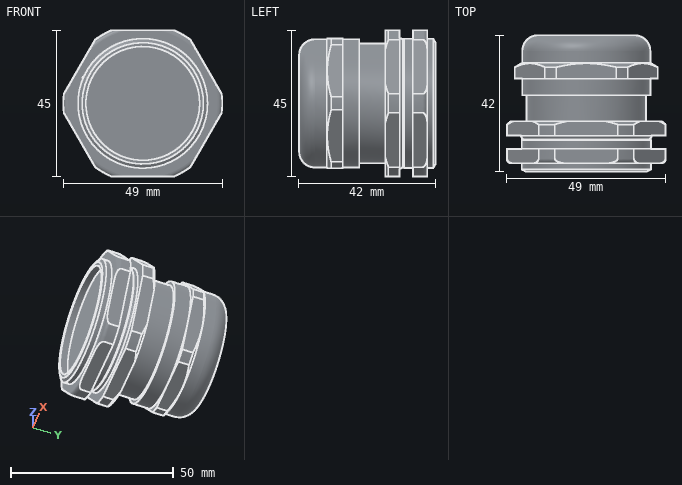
import cadquery as cq
import math

total_length = 42.0

thread_radius = 39.85 / 2
thread_end = 9.7
rim_chamfer_length = 0.75
rim_face_radius = 18.65
recess_radius = 35.0 / 2
recess_depth = 2.45

groove_root = 10.05
groove_root_radius = 19.5
seal_radius = 20.1

large_flats = 45.0
large_corner_radius = 24.5
locknut_start = 2.55
locknut_end = 7.0
locknut_fillet = 1.45
body_hex_start = 11.05
body_hex_end = 15.5
body_chamfer_length = 1.05
body_chamfer_width = 1.2

neck_radius = 36.85 / 2
neck_end = 23.45
cap_radius = 39.5 / 2
dome_radius = 4.95

cap_flats = 40.0
cap_corner_radius = 22.05
cap_hex_start = 28.6
cap_hex_end = 33.45
cap_chamfer_length = 1.3
cap_chamfer_width = cap_corner_radius - cap_radius


def cylinder(radius, start, end):
    """Round length about the Y axis between two stations."""
    workplane = cq.Workplane("XZ", origin=(0, start - total_length / 2, 0))
    return workplane.circle(radius).extrude(start - end)


def hexagon(flats, start, end, envelope):
    """Hexagon with flats facing +Z and -Z, its corners trimmed by a round envelope."""
    workplane = cq.Workplane("XZ", origin=(0, start - total_length / 2, 0))
    corner_diameter = flats / math.cos(math.radians(30))
    prism = workplane.polygon(6, corner_diameter).extrude(start - end)
    return prism.intersect(envelope)


def threaded_end():
    rim_chamfer_width = thread_radius - rim_face_radius
    body = cylinder(thread_radius, 0, thread_end)
    return body.faces("<Y").edges().chamfer(rim_chamfer_length, rim_chamfer_width)


def grooved_seal():
    """Cone down to the groove root, then a sealing ring with a rounded flank up to the body hexagon."""
    front = thread_end - total_length / 2
    root = groove_root - total_length / 2
    back = body_hex_start - total_length / 2
    flank_rise = seal_radius - groove_root_radius
    flank_radius = ((back - root) ** 2 + flank_rise**2) / (2 * flank_rise)
    profile = (
        cq.Workplane("XY")
        .moveTo(0, front)
        .lineTo(thread_radius, front)
        .lineTo(groove_root_radius, root)
        .radiusArc((seal_radius, back), -flank_radius)
        .lineTo(0, back)
        .close()
    )
    return profile.revolve(360, (0, 0, 0), (0, 1, 0))


def locknut():
    envelope = cylinder(large_corner_radius, locknut_start, locknut_end)
    envelope = envelope.faces("<Y").edges().fillet(locknut_fillet)
    return hexagon(large_flats, locknut_start, locknut_end, envelope)


def back_chamfered_hexagon(flats, corner_radius, start, end, chamfer_length, chamfer_width):
    envelope = cylinder(corner_radius, start, end)
    envelope = envelope.faces(">Y").edges().chamfer(chamfer_length, chamfer_width)
    return hexagon(flats, start, end, envelope)


def domed_cap():
    cap = cylinder(cap_radius, neck_end, total_length)
    return cap.faces(">Y").edges().fillet(dome_radius)


body_hexagon = back_chamfered_hexagon(
    large_flats, large_corner_radius, body_hex_start, body_hex_end, body_chamfer_length, body_chamfer_width
)
cap_hexagon = back_chamfered_hexagon(
    cap_flats, cap_corner_radius, cap_hex_start, cap_hex_end, cap_chamfer_length, cap_chamfer_width
)

result = (
    threaded_end()
    .union(grooved_seal())
    .union(locknut())
    .union(body_hexagon)
    .union(cylinder(neck_radius, body_hex_end, neck_end))
    .union(domed_cap())
    .union(cap_hexagon)
    .cut(cylinder(recess_radius, 0, recess_depth))
)